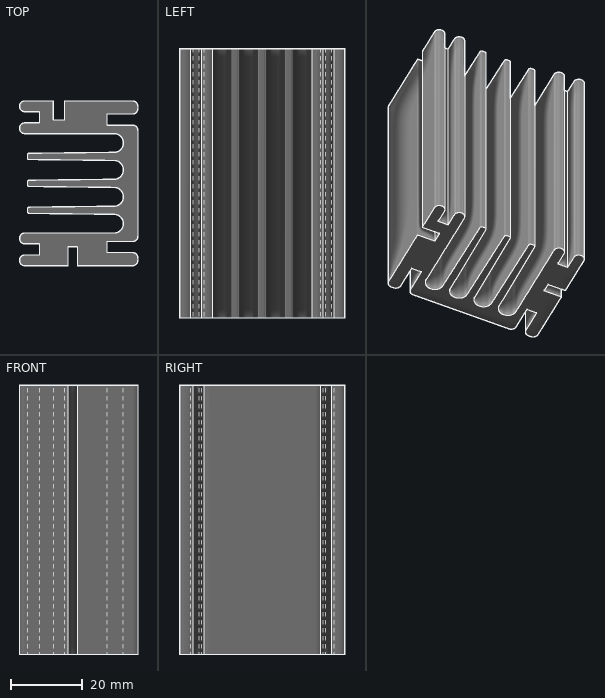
import cadquery as cq

width = 33.0
depth = 46.0
length = 75.0
left = -width / 2
right = width / 2
half_depth = depth / 2

wall_inner_y = 13.8
left_lip = 3.1
left_groove_depth = 5.55
left_lip_radius = 1.5
right_lip = 3.75
right_lip_radius = 1.6
right_groove_depth = 8.6
right_groove_width = 3.0
back_corner_radius = 1.5

slot_depth = 5.3
rear_slot_offset = 9.45
rear_slot_width = 3.1
front_slot_offset = 13.6
front_slot_width = 2.55
slot_mouth_radius = 0.15

back_thickness = 4.1
fin_pitch = 7.5
fin_setback = 2.2
fin_tip_width = 1.8
fin_root_width = 2.4
fin_tip_radius = 0.5
channel_radius = 2.5
channel_end = right - back_thickness


def block(x_min, x_max, y_min, y_max):
    """Full-length block spanning the given X and Y limits."""
    size_x = x_max - x_min
    size_y = y_max - y_min
    return cq.Workplane("XY").box(size_x, size_y, length, centered=False).translate((x_min, y_min, 0))


def lip_groove(x_min, x_max, y_inner, y_outer, side):
    """Edge groove in the side wall on the +Y (side=1) or -Y (side=-1) half."""
    y_min, y_max = sorted((side * y_inner, side * y_outer))
    return block(x_min, x_max, y_min, y_max)


def fin(center_y):
    """Tapered fin joined to the back plate and rounded at its tip."""
    tip_x = left + fin_setback
    tip = fin_tip_width / 2
    root = fin_root_width / 2
    profile = [
        (tip_x, center_y - tip),
        (channel_end, center_y - root),
        (channel_end, center_y + root),
        (tip_x, center_y + tip),
    ]
    body = cq.Workplane("XY").polyline(profile).close().extrude(length)
    return body.edges("|Z and <X").fillet(fin_tip_radius)


def vertical_edges(body, x, y_values):
    """Select the full-length edges at one X and several Y positions."""
    tolerance = 0.01
    edges = []
    for edge in body.edges("|Z").vals():
        center = edge.Center()
        if abs(center.x - x) < tolerance and any(abs(center.y - y) < tolerance for y in y_values):
            edges.append(edge)
    return body.newObject(edges)


body = block(left, right, -half_depth, half_depth)
body = body.cut(block(left, channel_end, -wall_inner_y, wall_inner_y))

right_groove_outer = half_depth - right_lip
right_groove_inner = right_groove_outer - right_groove_width
left_groove_outer = half_depth - left_lip
left_groove_inner = wall_inner_y + left_lip
for side in (-1, 1):
    body = body.cut(lip_groove(left, left + left_groove_depth, left_groove_inner, left_groove_outer, side))
    body = body.cut(lip_groove(right - right_groove_depth, right, right_groove_inner, right_groove_outer, side))

rear_slot_x = left + rear_slot_offset
front_slot_x = left + front_slot_offset
body = body.cut(block(rear_slot_x, rear_slot_x + rear_slot_width, half_depth - slot_depth, half_depth))
body = body.cut(block(front_slot_x, front_slot_x + front_slot_width, -half_depth, slot_depth - half_depth))

for slot_x, slot_width, mouth_y in (
    (rear_slot_x, rear_slot_width, half_depth),
    (front_slot_x, front_slot_width, -half_depth),
):
    for edge_x in (slot_x, slot_x + slot_width):
        body = vertical_edges(body, edge_x, [mouth_y]).fillet(slot_mouth_radius)

for side in (-1, 1):
    left_lip_ys = [side * y for y in (wall_inner_y, left_groove_inner, left_groove_outer, half_depth)]
    body = vertical_edges(body, left, left_lip_ys).fillet(left_lip_radius)
    right_lip_ys = [side * y for y in (right_groove_outer, half_depth)]
    body = vertical_edges(body, right, right_lip_ys).fillet(right_lip_radius)
    body = vertical_edges(body, right, [side * right_groove_inner]).fillet(back_corner_radius)

channel_corner_ys = [-wall_inner_y, wall_inner_y]
for index in (-1, 0, 1):
    center_y = index * fin_pitch
    body = body.union(fin(center_y))
    channel_corner_ys += [center_y - fin_root_width / 2, center_y + fin_root_width / 2]
result = vertical_edges(body, channel_end, channel_corner_ys).fillet(channel_radius)